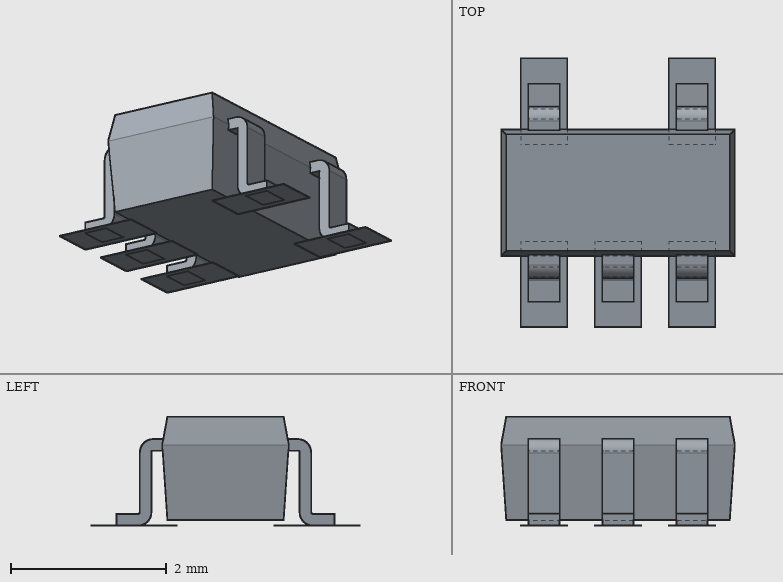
import cadquery as cq


body_length = 3.0
body_width = 1.625
body_inset = 0.065
body_bottom = 0.072
parting_height = 1.04
body_top = 1.4

pad_width = 0.6
pad_length = 1.1
pad_outer_edge = 1.725
pad_thickness = 0.007

lead_width = 0.4
lead_thickness = 0.152
lead_pitch = 0.95
lead_tip = 1.4
lead_outer_face = 1.1
lead_top = 1.115
lead_embedment = 0.125
lead_root = body_width / 2 - lead_embedment
shoulder_radius = 0.175
heel_radius = 0.175
toe_radius = 0.025

FRONT = -1
BACK = 1
lead_sites = [
    (-lead_pitch, FRONT),
    (0, FRONT),
    (lead_pitch, FRONT),
    (-lead_pitch, BACK),
    (lead_pitch, BACK),
]


def tapered_half(end_height):
    """Solid from the widest section to a smaller rectangle at end_height."""
    return (
        cq.Workplane("XY", origin=(0, 0, parting_height))
        .rect(body_length, body_width)
        .workplane(offset=end_height - parting_height)
        .rect(body_length - 2 * body_inset, body_width - 2 * body_inset)
        .loft(ruled=True)
    )


def back_lead():
    """Bent strip: foot on the pad, upright, then shoulder running into the body."""
    inner_face = lead_outer_face - lead_thickness
    shoulder_underside = lead_top - lead_thickness
    outline = [
        (lead_tip, 0),
        (inner_face, 0),
        (inner_face, shoulder_underside),
        (lead_root, shoulder_underside),
        (lead_root, lead_top),
        (lead_outer_face, lead_top),
        (lead_outer_face, lead_thickness),
        (lead_tip, lead_thickness),
    ]
    strip = cq.Workplane("YZ").polyline(outline).close().extrude(lead_width / 2, both=True)

    def round_bend(solid, y, z, radius):
        return solid.edges(cq.selectors.NearestToPointSelector((0, y, z))).fillet(radius)

    strip = round_bend(strip, lead_outer_face, lead_top, shoulder_radius)
    strip = round_bend(strip, inner_face, 0, heel_radius)
    return round_bend(strip, lead_outer_face, lead_thickness, toe_radius)


def back_pad():
    """Thin rectangle reaching from under the body to beyond the lead tip."""
    pad_centre = pad_outer_edge - pad_length / 2
    return (
        cq.Workplane("XY")
        .center(0, pad_centre)
        .rect(pad_width, pad_length)
        .extrude(pad_thickness)
    )


result = tapered_half(body_top).union(tapered_half(body_bottom))

lead_on_pad = back_pad().union(back_lead())
for x, side in lead_sites:
    turn = 0 if side == BACK else 180
    placed = lead_on_pad.rotate((0, 0, 0), (0, 0, 1), turn).translate((x, 0, 0))
    result = result.union(placed)